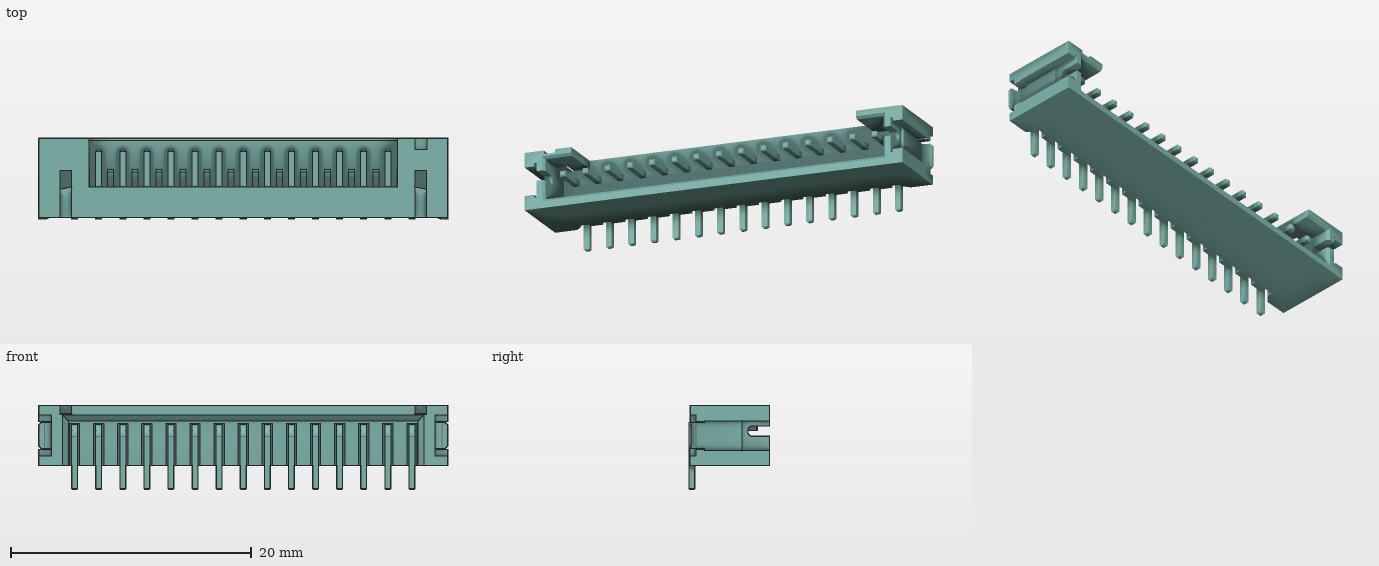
import cadquery as cq

pin_count = 15
pitch = 2.0
pin_width = 0.5
pin_top_z = 3.4
pin_front_y = -0.12
pin_rear_y = 5.6
pin_bottom_z = -2.0
pin_bend_radius = 1.0
pin_tip_chamfer = 0.1

housing_length = 33.95
housing_depth = 6.6
housing_height = 5.0
half_length = housing_length / 2

cavity_half_width = 15.2
cavity_front_y = 2.55
cavity_corner_y = 2.35
cavity_floor_z = 0.8
cavity_roof_z = 4.3
mouth_chamfer = 0.22
roof_window_half_width = 12.8

rib_width = 0.5
rib_rear_y = 4.0
rib_height = 0.2

recess_half_width = 15.0
recess_top_z = 4.2
recess_depth = 0.5
groove_width = 0.85
groove_top_z = 3.5
groove_depth = 0.5

top_slot_inner_x = 14.25
top_slot_floor_z = 4.25
top_slot_rear_y = 3.9
key_depth = 0.95
key_width = 1.0
key_floor_z = 4.7

plate_depth = 1.06
channel_bottom_z = 1.25
channel_top_z = 3.72
throat_bottom_z = 1.34
throat_top_z = 3.65
pocket_depth = 0.5
pocket_bottom_z = 0.8
pocket_top_z = 4.2
notch_front_y = 4.8
notch_bottom_z = 2.45
notch_top_z = 3.28
notch_radius = 0.35

sheet = 0.2
plate_bottom_z = 1.0
plate_top_z = 4.0
tab_rear_y = 4.3
tab_shoulder_y = 1.2
tab_bend_radius = 0.58
tab_neck_bottom_z = 1.42
tab_neck_top_z = 3.58
tab_corner = 0.2

pin_positions = [(i - (pin_count - 1) / 2) * pitch for i in range(pin_count)]
rib_positions = [x + pitch / 2 for x in pin_positions[:-1]]


def box(x0, x1, y0, y1, z0, z1):
    """Axis-aligned block between two opposite corners."""
    return cq.Workplane("XY").box(x1 - x0, y1 - y0, z1 - z0, centered=False).translate((x0, y0, z0))


def both_ends(left_shape):
    """The left-hand shape together with its mirror image on the right."""
    return left_shape.union(left_shape.mirror("YZ"))


def cavity():
    plan = [
        (-cavity_half_width, housing_depth),
        (-cavity_half_width, cavity_corner_y),
        (-top_slot_inner_x, cavity_front_y),
        (top_slot_inner_x, cavity_front_y),
        (cavity_half_width, cavity_corner_y),
        (cavity_half_width, housing_depth),
    ]
    height = cavity_roof_z - cavity_floor_z
    room = cq.Workplane("XY").workplane(offset=cavity_floor_z).polyline(plan).close().extrude(height)
    mouth_width = 2 * (cavity_half_width + mouth_chamfer)
    mouth = (
        cq.Workplane("XZ", origin=(0, housing_depth, (cavity_floor_z + cavity_roof_z) / 2))
        .rect(mouth_width, height + 2 * mouth_chamfer)
        .extrude(mouth_chamfer, taper=45)
    )
    window = box(
        -roof_window_half_width, roof_window_half_width,
        cavity_front_y, housing_depth,
        cavity_floor_z + mouth_chamfer, housing_height,
    )
    return room.union(mouth).union(window)


def ribs():
    row = None
    for x in rib_positions:
        rib = (
            cq.Workplane("YZ", origin=(x - rib_width / 2, 0, 0))
            .moveTo(cavity_front_y, cavity_floor_z)
            .lineTo(rib_rear_y, cavity_floor_z)
            .lineTo(rib_rear_y - rib_height, cavity_floor_z + rib_height)
            .lineTo(cavity_front_y, cavity_floor_z + rib_height)
            .close()
            .extrude(rib_width)
        )
        row = rib if row is None else row.union(rib)
    return row


def front_recess():
    """Recess open at the bottom, its top and sides bevelled at 45 degrees."""
    return (
        cq.Workplane("XZ")
        .rect(2 * recess_half_width, 2 * recess_top_z)
        .extrude(-recess_depth, taper=45)
    )


def pin_grooves():
    row = cq.Workplane("XY")
    for x in pin_positions:
        row = row.add(box(
            x - groove_width / 2, x + groove_width / 2,
            0, recess_depth + groove_depth,
            0, groove_top_z,
        ))
    return row.combine()


def top_slots():
    left = box(
        -cavity_half_width, -top_slot_inner_x,
        0, top_slot_rear_y,
        top_slot_floor_z, housing_height,
    )
    return both_ends(left)


def key_notch():
    return box(
        top_slot_inner_x, top_slot_inner_x + key_width,
        housing_depth - key_depth, housing_depth,
        key_floor_z, housing_height,
    )


def end_cuts():
    plate_x = -half_length + plate_depth
    channel = box(-half_length, plate_x, tab_shoulder_y, housing_depth, channel_bottom_z, channel_top_z)
    throat = box(-half_length, plate_x, 0, tab_shoulder_y, throat_bottom_z, throat_top_z)
    plate_slot = box(plate_x - sheet, plate_x, tab_shoulder_y, housing_depth, plate_bottom_z, plate_top_z)
    pocket = box(-half_length, plate_x, 0, pocket_depth, pocket_bottom_z, pocket_top_z)
    notch = box(-half_length, -cavity_half_width, notch_front_y, housing_depth, notch_bottom_z, notch_top_z)
    notch = notch.faces("<Y").edges("|X").fillet(notch_radius)
    return both_ends(channel.union(throat).union(plate_slot).union(pocket).union(notch))


def solder_tabs():
    """Sheet lying in the plate slot, bent outwards at the front into a foot."""
    plate_x = -half_length + plate_depth
    foot_y = pin_front_y
    neck_height = tab_neck_top_z - tab_neck_bottom_z
    bent = (
        cq.Workplane("XY")
        .workplane(offset=tab_neck_bottom_z)
        .moveTo(-half_length, foot_y)
        .lineTo(plate_x - tab_bend_radius, foot_y)
        .radiusArc((plate_x, foot_y + tab_bend_radius), -tab_bend_radius)
        .lineTo(plate_x, tab_shoulder_y)
        .lineTo(plate_x - sheet, tab_shoulder_y)
        .lineTo(plate_x - sheet, foot_y + tab_bend_radius)
        .radiusArc((plate_x - tab_bend_radius, foot_y + sheet), tab_bend_radius - sheet)
        .lineTo(-half_length, foot_y + sheet)
        .close()
        .extrude(neck_height)
    )
    bent = bent.faces("<X").edges("|Y").chamfer(tab_corner)
    plate = box(plate_x - sheet, plate_x, tab_shoulder_y, tab_rear_y, plate_bottom_z, plate_top_z)
    return both_ends(plate.union(bent))


def pin(x):
    """Square right-angle pin with tapered tips."""
    inner_y = pin_front_y + pin_width
    lower_z = pin_top_z - pin_width
    inner_radius = pin_bend_radius - pin_width
    bend_y = pin_front_y + pin_bend_radius
    bend_z = pin_top_z - pin_bend_radius
    bent = (
        cq.Workplane("YZ", origin=(x - pin_width / 2, 0, 0))
        .moveTo(pin_front_y, pin_bottom_z)
        .lineTo(pin_front_y, bend_z)
        .radiusArc((bend_y, pin_top_z), pin_bend_radius)
        .lineTo(pin_rear_y, pin_top_z)
        .lineTo(pin_rear_y, lower_z)
        .lineTo(bend_y, lower_z)
        .radiusArc((inner_y, bend_z), -inner_radius)
        .lineTo(inner_y, pin_bottom_z)
        .close()
        .extrude(pin_width)
    )
    bent = bent.faces(">Y").chamfer(pin_tip_chamfer)
    return bent.faces("<Z").chamfer(pin_tip_chamfer)


housing = box(-half_length, half_length, 0, housing_depth, 0, housing_height)
for cut_shape in (cavity(), front_recess(), pin_grooves(), top_slots(), key_notch(), end_cuts()):
    housing = housing.cut(cut_shape)

result = housing.union(ribs()).union(solder_tabs())
for pin_x in pin_positions:
    result = result.union(pin(pin_x))